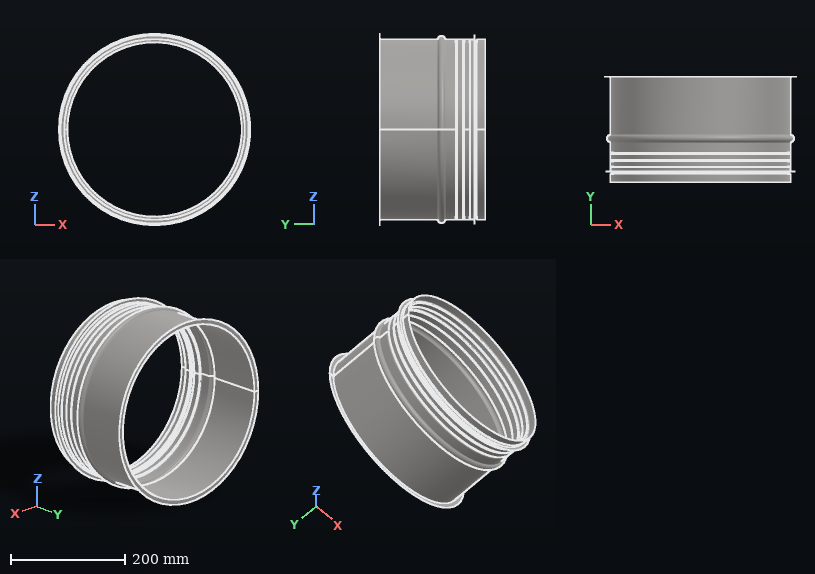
import cadquery as cq
import math


LENGTH = 185.0
SHEET = 0.5
PIPE_RADIUS = 316.5 / 2

SEAM_GAP = 0.07

FLANGE_RADIUS = 335.0 / 2
FLANGE_ROOT = 1.0

BEAD_Y = 76.7
BEAD_CROWN = 6.7
BEAD_SINK = 1.0
BEAD_FOOT = 1.0

FLOOR_RADIUS = 305.5 / 2
CREST_BEND = 1.7
FLOOR_BEND = 1.0
LIP_RECESS_FRONT = 14.7
LIP_RECESS_BACK = 27.5
BAND_RECESS_FRONT = 37.0
BAND_RECESS_BACK = 52.0

SEAL_BASE_RADIUS = 312.0 / 2
SEAL_BASE_CLEARANCE = 1.5

BAND_RADIUS = 316.5 / 2
BAND_WIDTH = 10.0
BAND_ROUND = 1.0

LIP_RADIUS = 329.5 / 2
LIP_THICKNESS = 0.7
LIP_FRONT = 18.8
LIP_ROOT = 1.0
SHOULDER_RADIUS = 315.5 / 2
SHOULDER_CLEARANCE = 0.5


def section_point(radius, y):
    """Point of the half section, which lies on the -X side of the axis."""
    return (-radius, y)


def revolve(section):
    """Turn a closed half section once around the Y axis."""
    return section.close().revolve(360, (0, 0, 0), (0, 1, 0))


def arc_point(centre_radius, centre_y, bend, angle):
    """Point on a bend; the angle runs from the outward radial direction towards +Y."""
    return section_point(centre_radius + bend * math.cos(angle), centre_y + bend * math.sin(angle))


def add_arc(section, centre_radius, centre_y, bend, start, end):
    """Continue the section along a bend between two angles."""
    return section.threePointArc(
        arc_point(centre_radius, centre_y, bend, (start + end) / 2),
        arc_point(centre_radius, centre_y, bend, end),
    )


def add_recess(section, front, back, inset):
    """Continue the section through a recess, inset from the outer skin."""
    crest_centre = PIPE_RADIUS - CREST_BEND
    crest_bend = CREST_BEND - inset
    crest_front = front - CREST_BEND
    crest_back = back + CREST_BEND
    floor_centre = FLOOR_RADIUS + FLOOR_BEND
    floor_bend = FLOOR_BEND + inset
    floor_front = front + FLOOR_BEND
    floor_back = back - FLOOR_BEND
    quarter = math.pi / 2

    section = section.lineTo(*section_point(PIPE_RADIUS - inset, crest_front))
    section = add_arc(section, crest_centre, crest_front, crest_bend, 0, quarter)
    section = section.lineTo(*section_point(floor_centre, front - inset))
    section = add_arc(section, floor_centre, floor_front, floor_bend, 3 * quarter, 2 * quarter)
    section = section.lineTo(*section_point(FLOOR_RADIUS - inset, floor_back))
    section = add_arc(section, floor_centre, floor_back, floor_bend, 2 * quarter, quarter)
    section = section.lineTo(*section_point(crest_centre, back + inset))
    return add_arc(section, crest_centre, crest_back, crest_bend, -quarter, 0)


def add_bead(section, inset):
    """Continue the section over the stop bead, inset from the outer skin."""
    foot_angle = math.asin((BEAD_FOOT + BEAD_SINK) / (BEAD_CROWN + BEAD_FOOT))
    crown_angle = math.pi / 2 - foot_angle
    foot_offset = (BEAD_CROWN + BEAD_FOOT) * math.cos(foot_angle)
    crown_centre = PIPE_RADIUS - BEAD_SINK
    foot_centre = PIPE_RADIUS + BEAD_FOOT
    foot_bend = BEAD_FOOT + inset
    front_foot = BEAD_Y - foot_offset
    back_foot = BEAD_Y + foot_offset

    section = section.lineTo(*section_point(PIPE_RADIUS - inset, front_foot))
    section = add_arc(section, foot_centre, front_foot, foot_bend, math.pi, math.pi - crown_angle)
    section = add_arc(section, crown_centre, BEAD_Y, BEAD_CROWN - inset, -crown_angle, crown_angle)
    return add_arc(section, foot_centre, back_foot, foot_bend, math.pi + crown_angle, math.pi)


def make_core(inset):
    """Solid bounded by the sleeve's outer skin moved inwards by the inset."""
    root_y = LENGTH - SHEET - FLANGE_ROOT
    root_centre = PIPE_RADIUS + FLANGE_ROOT
    root_bend = FLANGE_ROOT + inset

    section = cq.Workplane("XY").lineTo(*section_point(PIPE_RADIUS - inset, 0))
    section = add_recess(section, LIP_RECESS_FRONT, LIP_RECESS_BACK, inset)
    section = add_recess(section, BAND_RECESS_FRONT, BAND_RECESS_BACK, inset)
    section = add_bead(section, inset)
    section = section.lineTo(*section_point(PIPE_RADIUS - inset, root_y))
    section = add_arc(section, root_centre, root_y, root_bend, math.pi, math.pi / 2)
    return revolve(section.lineTo(0, root_y + root_bend))


def make_ring(inner_radius, outer_radius, front, back):
    """Plain ring with a rectangular section."""
    return revolve(
        cq.Workplane("XY")
        .moveTo(*section_point(inner_radius, front))
        .lineTo(*section_point(outer_radius, front))
        .lineTo(*section_point(outer_radius, back))
        .lineTo(*section_point(inner_radius, back))
    )


def make_sleeve():
    """Sleeve and flange as one sheet of constant thickness, open along the seam."""
    flange = make_ring(PIPE_RADIUS, FLANGE_RADIUS, LENGTH - SHEET, LENGTH)
    sheet = make_core(0).union(flange).cut(make_core(SHEET))
    seam = cq.Workplane("XY").box(FLANGE_RADIUS, LENGTH, SEAM_GAP)
    return sheet.cut(seam.translate((-FLANGE_RADIUS / 2, LENGTH / 2, 0)))


def make_seal_base(recess_front, recess_back):
    """Ring on a recess floor, inside the bends that lead up to its walls."""
    base_front = recess_front + SEAL_BASE_CLEARANCE
    base_back = recess_back - SEAL_BASE_CLEARANCE
    return make_ring(FLOOR_RADIUS, SEAL_BASE_RADIUS, base_front, base_back)


def make_sealing_band():
    """Base with a raised band whose outer edges are rounded."""
    middle = (BAND_RECESS_FRONT + BAND_RECESS_BACK) / 2
    band_front = middle - BAND_WIDTH / 2
    band_back = middle + BAND_WIDTH / 2
    band = make_ring(FLOOR_RADIUS, BAND_RADIUS, band_front, band_back)
    outer_edges = cq.selectors.RadiusNthSelector(-1)
    band = band.edges("%CIRCLE").edges(outer_edges).fillet(BAND_ROUND)
    return make_seal_base(BAND_RECESS_FRONT, BAND_RECESS_BACK).union(band)


def make_lip_seal():
    """Base with a tall thin lip and, behind it, a low shoulder."""
    lip_back = LIP_FRONT + LIP_THICKNESS
    lip = make_ring(SEAL_BASE_RADIUS, LIP_RADIUS, LIP_FRONT, lip_back)
    shoulder_back = LIP_RECESS_BACK - SHOULDER_CLEARANCE
    shoulder = make_ring(SEAL_BASE_RADIUS, SHOULDER_RADIUS, lip_back, shoulder_back)
    seal = make_seal_base(LIP_RECESS_FRONT, LIP_RECESS_BACK).union(lip).union(shoulder)
    lip_root = cq.selectors.BoxSelector(
        (-LIP_RADIUS, LIP_FRONT - LIP_THICKNESS / 2, -LIP_RADIUS),
        (LIP_RADIUS, LIP_FRONT + LIP_THICKNESS / 2, LIP_RADIUS),
    )
    root_edge = cq.selectors.RadiusNthSelector(0)
    return seal.edges("%CIRCLE").edges(lip_root).edges(root_edge).fillet(LIP_ROOT)


sleeve = make_sleeve()
sealing_band = make_sealing_band()
lip_seal = make_lip_seal()

result = cq.Compound.makeCompound([sleeve.val(), sealing_band.val(), lip_seal.val()])